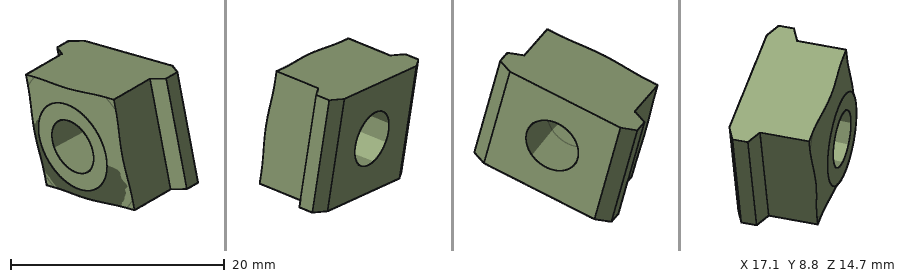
import cadquery as cq
import math

overall_length = 17.06
body_width = 11.89
height = 11.6
depth = 8.8
tilt = 13.56
bevel_depth = 0.75
rim_depth = 1.5
nose_height = 0.99
nose_diameter = 9.0
flare_diameter = 15.08
bore_diameter = 5.5

tilt_angle = math.radians(tilt)
flange_width = (overall_length - height * math.sin(tilt_angle)) / math.cos(tilt_angle)

front = -depth / 2
back = depth / 2
shoulder = front + nose_height
rim_back = back - bevel_depth
rim_front = rim_back - rim_depth
flange_front = rim_front - bevel_depth

nose_radius = nose_diameter / 2
flare_radius = flare_diameter / 2
flare_run = flare_radius - nose_radius
arc_radius = (flare_run**2 + nose_height**2) / (2 * nose_height)
half_sweep = math.asin(flare_run / arc_radius) / 2
arc_middle = (
    flare_radius - arc_radius * math.sin(half_sweep),
    shoulder - arc_radius * (1 - math.cos(half_sweep)),
)


def make_block():
    """Straight body with bevelled flanges along both sides at the back."""
    right_side = [
        (body_width / 2, front),
        (body_width / 2, flange_front),
        (flange_width / 2, rim_front),
        (flange_width / 2, rim_back),
        (body_width / 2, back),
    ]
    left_side = [(-x, y) for x, y in reversed(right_side)]
    return (
        cq.Workplane("XY")
        .polyline(right_side + left_side)
        .close()
        .extrude(height / 2, both=True)
    )


def make_nose_envelope():
    """Turned shape that leaves the flared nose and the flat corner shoulders."""
    outer_radius = flange_width
    return (
        cq.Workplane("XY")
        .moveTo(0, front)
        .lineTo(nose_radius, front)
        .threePointArc(arc_middle, (flare_radius, shoulder))
        .lineTo(outer_radius, shoulder)
        .lineTo(outer_radius, back)
        .lineTo(0, back)
        .close()
        .revolve(360, (0, 0, 0), (0, 1, 0))
    )


bore = cq.Workplane("XZ").circle(bore_diameter / 2).extrude(depth, both=True)

upright_part = make_block().intersect(make_nose_envelope()).cut(bore)
result = upright_part.rotate((0, 0, 0), (0, 1, 0), -tilt)